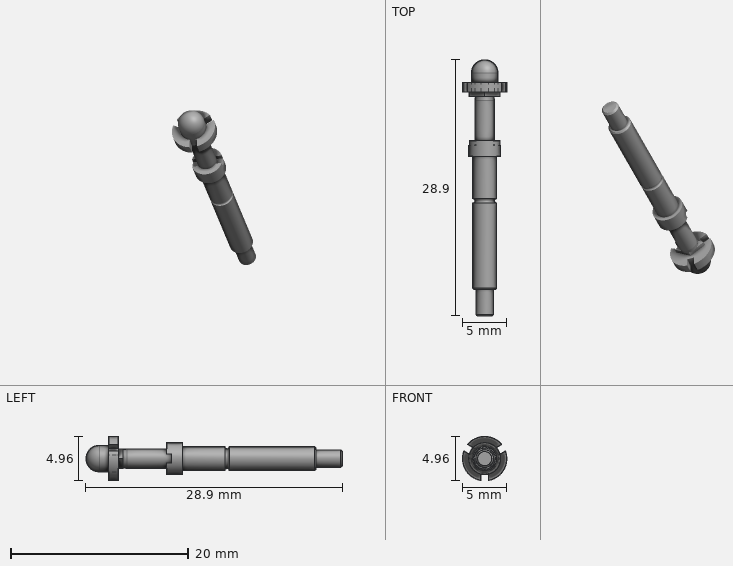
import cadquery as cq
import math


barrel_radius = 1.35
barrel_length = 15.0
barrel_chamfer = 0.15
tail_radius = 1.0
tail_length = 3.0
tail_chamfer = 0.2
groove_radius = 0.25
groove_offset = 5.0

collar_radius = 1.8
collar_length = 1.8
notch_width = 1.0
notch_depth = 0.55

stem_radius = 1.1
stem_length = 4.95
neck_radius = 1.05
neck_length = 0.45

key_half_width = 1.75
key_half_height = 1.1
key_length = 0.5

flange_radius = 2.5
flange_thickness = 1.1
slot_count = 3
slot_width = 0.85
first_slot_angle = 90
head_radius = 1.5
head_cylinder_length = 1.05

barrel_end = -barrel_length
tail_end = barrel_end - tail_length
collar_front = collar_length
stem_end = collar_front + stem_length
key_front = stem_end + key_length
flange_front = key_front + flange_thickness
dome_base = flange_front + head_cylinder_length
dome_tip = dome_base + head_radius


def revolve_about_y(profile):
    """Close a half profile (radius, y) and revolve it about the Y axis."""
    return profile.close().revolve(360, (0, 0, 0), (0, 1, 0))


def make_body():
    """Tail, grooved barrel, collar and stem, up to the face that meets the key."""
    return revolve_about_y(
        cq.Workplane("XY")
        .moveTo(0, tail_end)
        .lineTo(tail_radius - tail_chamfer, tail_end)
        .lineTo(tail_radius, tail_end + tail_chamfer)
        .lineTo(tail_radius, barrel_end)
        .lineTo(barrel_radius - barrel_chamfer, barrel_end)
        .lineTo(barrel_radius, barrel_end + barrel_chamfer)
        .lineTo(barrel_radius, -groove_offset - groove_radius)
        .threePointArc(
            (barrel_radius - groove_radius, -groove_offset),
            (barrel_radius, -groove_offset + groove_radius),
        )
        .lineTo(barrel_radius, 0)
        .lineTo(collar_radius, 0)
        .lineTo(collar_radius, collar_front)
        .lineTo(stem_radius, collar_front)
        .lineTo(stem_radius, stem_end - neck_length)
        .lineTo(neck_radius, stem_end)
        .lineTo(0, stem_end)
    )


def make_head():
    """Flange and domed head, in front of the key."""
    dome_mid = head_radius * math.sqrt(0.5)
    return revolve_about_y(
        cq.Workplane("XY")
        .moveTo(0, key_front)
        .lineTo(flange_radius, key_front)
        .lineTo(flange_radius, flange_front)
        .lineTo(head_radius, flange_front)
        .lineTo(head_radius, dome_base)
        .threePointArc((dome_mid, dome_base + dome_mid), (0, dome_tip))
    )


def make_key():
    """Diamond prism joining the stem to the flange."""
    return (
        cq.Workplane("XZ", origin=(0, key_front, 0))
        .polyline([
            (key_half_width, 0),
            (0, key_half_height),
            (-key_half_width, 0),
            (0, -key_half_height),
        ])
        .close()
        .extrude(key_length)
    )


def make_flange_slot(angle):
    """Radial slot through the flange, open at the rim, its floor at the head radius."""
    slot_length = flange_radius - head_radius
    slot = cq.Workplane("XY").box(
        slot_length, flange_thickness, slot_width, centered=(False, False, True)
    )
    return slot.translate((head_radius, key_front, 0)).rotate((0, 0, 0), (0, 1, 0), angle)


def make_collar_notches():
    """Pair of opposed notches along X in the collar front, leaving the stem whole."""
    bar = cq.Workplane("XY").box(
        2 * collar_radius, notch_depth, notch_width, centered=(True, False, True)
    )
    stem_core = cq.Workplane("XZ").circle(stem_radius).extrude(-notch_depth)
    return bar.cut(stem_core).translate((0, collar_front - notch_depth, 0))


part = make_body().union(make_key()).union(make_head())
for index in range(slot_count):
    part = part.cut(make_flange_slot(first_slot_angle + index * 360 / slot_count))
result = part.cut(make_collar_notches())